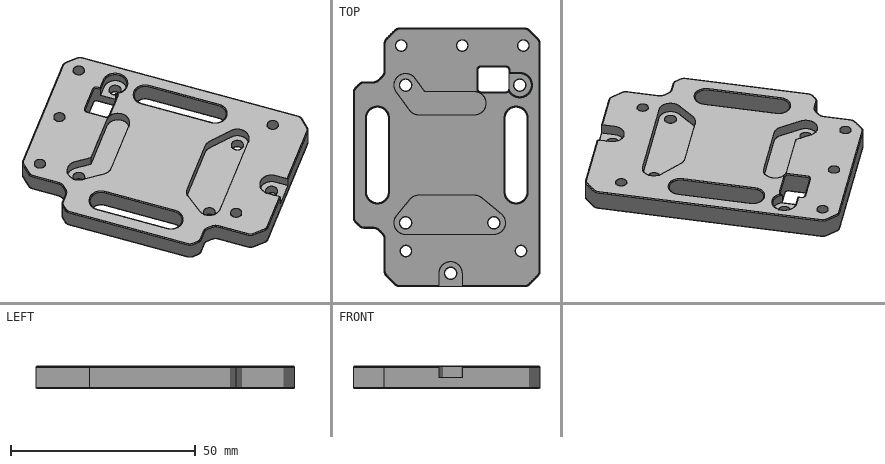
import cadquery as cq
import math

LENGTH = 70.1
WIDTH = 50.6
THICKNESS = 6.0
EDGE_CHAMFER = 0.3
RIGHT = WIDTH / 2
LEFT = -WIDTH / 2
BACK = LENGTH / 2
FRONT = -LENGTH / 2
TOP = THICKNESS / 2
BOTTOM = -THICKNESS / 2

WING_REACH = 8.35
WING_LENGTH = 39.7
MIDDLE_Y = 0.6
BODY_LEFT = LEFT + WING_REACH
WING_BACK = MIDDLE_Y + WING_LENGTH / 2
WING_FRONT = MIDDLE_Y - WING_LENGTH / 2

CORNER_CUT = 3.45
WING_CUT = 2.1
BLEND_RADIUS = 1.95

SLOT_SPACING = 37.6
SLOT_WIDTH = 5.95
SLOT_LENGTH = 25.95

SCREW_DIAMETER = 3.0
BACK_ROW_MIDDLE_X = 4.2
BACK_ROW_PITCH = 16.55
BACK_ROW_Y = 30.3
FRONT_PAIR_X = (-11.1, 20.1)
FRONT_PAIR_Y = -25.4

MOUNT_DIAMETER = 3.2
MOUNT_LEFT_X = -11.15
MOUNT_BACK_Y = 19.55
MOUNT_FRONT_Y = -17.75
BACK_LEFT_MOUNT = (MOUNT_LEFT_X, MOUNT_BACK_Y)
BACK_RIGHT_MOUNT = (19.8, MOUNT_BACK_Y)
FRONT_LEFT_MOUNT = (MOUNT_LEFT_X, MOUNT_FRONT_Y)
FRONT_RIGHT_MOUNT = (12.75, MOUNT_FRONT_Y)
NOTCH_MOUNT = (1.05, -31.4)

POCKET_DEPTH = 3.0
POCKET_FLOOR = TOP - POCKET_DEPTH
POCKET_RADIUS = 3.15
CHANNEL_LEFT_X = -7.6
CHANNEL_RIGHT_X = 7.5
CHANNEL_OFFSET_Y = 14.0
CHANNEL_BACK_Y = MIDDLE_Y + CHANNEL_OFFSET_Y
CHANNEL_FRONT_Y = MIDDLE_Y - CHANNEL_OFFSET_Y

WINDOW_X = 12.6
WINDOW_Y = 21.1
WINDOW_WIDTH = 8.4
WINDOW_LENGTH = 6.7
WINDOW_RADIUS = 0.85


def plane_at(z):
    return cq.Workplane("XY", origin=(0, 0, z))


def hole(center, diameter):
    return plane_at(BOTTOM).center(*center).circle(diameter / 2).extrude(THICKNESS)


def channel(start, end):
    """Round-ended pocket running between two points."""
    run_x = end[0] - start[0]
    run_y = end[1] - start[1]
    middle = ((start[0] + end[0]) / 2, (start[1] + end[1]) / 2)
    length = math.hypot(run_x, run_y) + 2 * POCKET_RADIUS
    angle = math.degrees(math.atan2(run_y, run_x))
    outline = plane_at(POCKET_FLOOR).center(*middle).slot2D(length, 2 * POCKET_RADIUS, angle)
    return outline.extrude(POCKET_DEPTH)


def make_plate():
    corners = [
        (RIGHT, FRONT, CORNER_CUT),
        (RIGHT, BACK, CORNER_CUT),
        (BODY_LEFT, BACK, CORNER_CUT),
        (BODY_LEFT, WING_BACK, WING_CUT),
        (LEFT, WING_BACK, WING_CUT),
        (LEFT, WING_FRONT, WING_CUT),
        (BODY_LEFT, WING_FRONT, WING_CUT),
        (BODY_LEFT, FRONT, CORNER_CUT),
    ]
    points = []
    for i, (x, y, cut) in enumerate(corners):
        previous_corner = corners[i - 1]
        next_corner = corners[(i + 1) % len(corners)]
        for side_x, side_y, _ in (previous_corner, next_corner):
            side = math.hypot(side_x - x, side_y - y)
            points.append((x + cut * (side_x - x) / side, y + cut * (side_y - y) / side))
    plate = plane_at(BOTTOM).polyline(points).close().extrude(THICKNESS)
    plate = plate.edges("|Z").fillet(BLEND_RADIUS)
    return plate.faces("<Z or >Z").chamfer(EDGE_CHAMFER)


def make_slots():
    slot_centers = [(-SLOT_SPACING / 2, MIDDLE_Y), (SLOT_SPACING / 2, MIDDLE_Y)]
    outline = plane_at(BOTTOM).pushPoints(slot_centers).slot2D(SLOT_LENGTH, SLOT_WIDTH, 90)
    return outline.extrude(THICKNESS)


def make_window():
    """Through window plus the recess around the back right mount."""
    window = plane_at(BOTTOM).center(WINDOW_X, WINDOW_Y).rect(WINDOW_WIDTH, WINDOW_LENGTH)
    window = window.extrude(THICKNESS).edges("|Z").fillet(WINDOW_RADIUS)
    recess = plane_at(POCKET_FLOOR).center(*BACK_RIGHT_MOUNT).circle(POCKET_RADIUS)
    recess = recess.extrude(POCKET_DEPTH)
    bridge_length = BACK_RIGHT_MOUNT[0] - WINDOW_X
    bridge = plane_at(POCKET_FLOOR).center(WINDOW_X, MOUNT_BACK_Y)
    bridge = bridge.rect(bridge_length, POCKET_RADIUS, centered=False).extrude(POCKET_DEPTH)
    return window.union(recess).union(bridge)


def make_back_pocket():
    """Bent channel from the back left mount."""
    bend = (CHANNEL_LEFT_X, CHANNEL_BACK_Y)
    end = (CHANNEL_RIGHT_X, CHANNEL_BACK_Y)
    return channel(BACK_LEFT_MOUNT, bend).union(channel(bend, end))


def make_front_pocket():
    """Trapezoid with rounded corners, around both front mounts."""
    corners = [
        FRONT_LEFT_MOUNT,
        (CHANNEL_LEFT_X, CHANNEL_FRONT_Y),
        (CHANNEL_RIGHT_X, CHANNEL_FRONT_Y),
        FRONT_RIGHT_MOUNT,
    ]
    outline = plane_at(POCKET_FLOOR).polyline(corners).close().offset2D(POCKET_RADIUS)
    return outline.extrude(POCKET_DEPTH)


def make_notch():
    """Round-ended notch, open through the front edge."""
    return channel(NOTCH_MOUNT, (NOTCH_MOUNT[0], FRONT))


body = make_plate().cut(make_slots()).cut(make_window())
mouths = body.faces(">Z").val().innerWires()
body = body.newObject(mouths).chamfer(EDGE_CHAMFER)

body = body.cut(make_back_pocket()).cut(make_front_pocket()).cut(make_notch())

for step in (-1, 0, 1):
    body = body.cut(hole((BACK_ROW_MIDDLE_X + step * BACK_ROW_PITCH, BACK_ROW_Y), SCREW_DIAMETER))

for x in FRONT_PAIR_X:
    body = body.cut(hole((x, FRONT_PAIR_Y), SCREW_DIAMETER))

mounts = (BACK_LEFT_MOUNT, BACK_RIGHT_MOUNT, FRONT_LEFT_MOUNT, FRONT_RIGHT_MOUNT, NOTCH_MOUNT)
for mount in mounts:
    body = body.cut(hole(mount, MOUNT_DIAMETER))

result = body